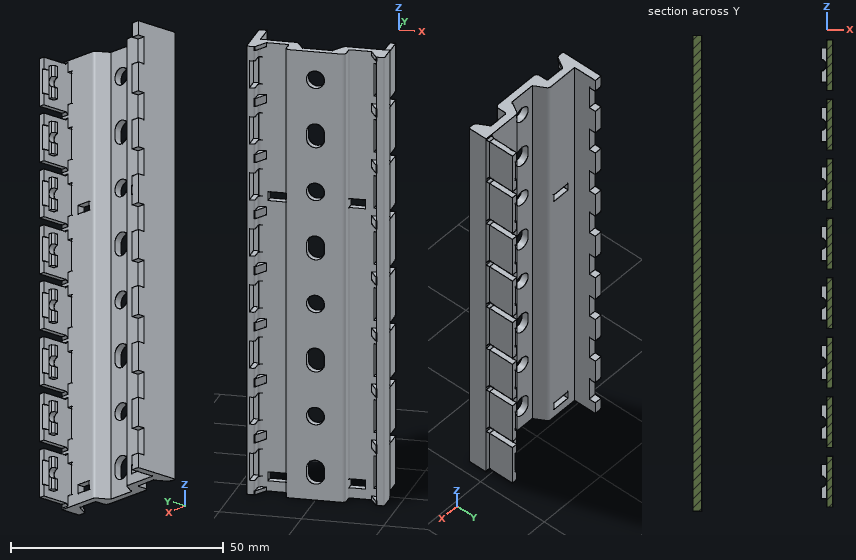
import cadquery as cq
import math

WIDTH = 33.55
LENGTH = 112.0
MID_X = WIDTH / 2

PITCH = 14.0
BAY_COUNT = round(LENGTH / PITCH)
BAY_CENTRES = [(i + 0.5) * PITCH for i in range(BAY_COUNT)]
BAY_JOINTS = [i * PITCH for i in range(BAY_COUNT + 1)]

WEB_BOTTOM = 3.45
WEB_TOP = 5.5
WEB_THICKNESS = WEB_TOP - WEB_BOTTOM
FOOT_WIDTH = 2.1
SPINE_HALF = 7.3
CHANNEL_FLOOR = 2.0
CHANNEL_FLOOR_HALF = 3.6
SLOPE = math.tan(math.radians(30))
CHANNEL_TOP_HALF = CHANNEL_FLOOR_HALF + (WEB_TOP - CHANNEL_FLOOR) * SLOPE

FOOT_OUTER_RADIUS = 0.4
FOOT_INNER_RADIUS = 0.65
FOOT_ROOT_RADIUS = 1.0
SPINE_RADIUS = 1.0
SPINE_ROOT_RADIUS = 0.35
CHANNEL_EDGE_RADIUS = 1.0

RIB_THICKNESS = 2.0
RIB_LOW = 0.1

PLAIN_WALL_TOP = 12.0
NOTCH_DEPTH = 1.9
NOTCH_LENGTH = 6.75
POCKET_X = 0.75
POCKET_TOP = 4.0

TOOTH_TOP = 13.25
TOOTH_INNER_X = WIDTH - FOOT_WIDTH
TOOTH_THICKNESS = 1.5
TOOTH_OUTER_X = TOOTH_INNER_X + TOOTH_THICKNESS
TOOTH_LENGTH = PITCH - RIB_THICKNESS
TOOTH_ROOT_CHAMFER = 0.6

RIDGE_LENGTH = 8.1
RIDGE_DEPTH = 1.3
RIDGE_FRONT_X = TOOTH_INNER_X - RIDGE_DEPTH
RIDGE_BOTTOM = 10.0
RIDGE_SHOULDER = 10.9
RIDGE_TOP = 11.65
SCOOP_RADIUS = 1.35
SCOOP_FLOOR = 0.1
SCOOP_X = TOOTH_INNER_X - SCOOP_FLOOR - SCOOP_RADIUS
TIP_LENGTH = 6.1
TIP_INSET = (TOOTH_TOP - RIDGE_TOP) * math.tan(math.radians(15))

HOLE_DIAMETER = 4.3
OBLONG_LENGTH = 5.9
SLOT_HEIGHT = 2.2
SLOT_FIRST_Z = 3.7
SLOT_SPACING = 5 * PITCH
SLOT_LEFT_X = 4.4
SLOT_RIGHT_X = 28.05


def box(x0, x1, y0, y1, z_centre, z_length):
    """Box between two X and two Y positions, centred at a height."""
    block = cq.Workplane("XY").box(x1 - x0, y1 - y0, z_length)
    return block.translate(((x0 + x1) / 2, (y0 + y1) / 2, z_centre))


def prism(points, z_centre, z_length):
    """Closed XY outline extruded along Z, centred at a height."""
    outline = cq.Workplane("XY").workplane(offset=z_centre - z_length / 2)
    return outline.polyline(points).close().extrude(z_length)


def round_edges(body, radius, places):
    """Round the lengthwise edges that pass through the given XY places."""
    for x, y in places:
        edge = cq.selectors.NearestToPointSelector((x, y, LENGTH / 2))
        body = body.edges("|Z").edges(edge).fillet(radius)
    return body


def make_base():
    """Feet, web, raised spine with its channel, and the plain wall."""
    spine_left = MID_X - SPINE_HALF
    spine_right = MID_X + SPINE_HALF
    outline = [
        (0, 0),
        (FOOT_WIDTH, 0),
        (FOOT_WIDTH, WEB_BOTTOM),
        (spine_left, WEB_BOTTOM),
        (spine_left, 0),
        (spine_right, 0),
        (spine_right, WEB_BOTTOM),
        (TOOTH_INNER_X, WEB_BOTTOM),
        (TOOTH_INNER_X, 0),
        (WIDTH, 0),
        (WIDTH, WEB_TOP),
        (MID_X + CHANNEL_TOP_HALF, WEB_TOP),
        (MID_X + CHANNEL_FLOOR_HALF, CHANNEL_FLOOR),
        (MID_X - CHANNEL_FLOOR_HALF, CHANNEL_FLOOR),
        (MID_X - CHANNEL_TOP_HALF, WEB_TOP),
        (FOOT_WIDTH, WEB_TOP),
        (FOOT_WIDTH, PLAIN_WALL_TOP),
        (0, PLAIN_WALL_TOP),
    ]
    base = prism(outline, LENGTH / 2, LENGTH)
    base = round_edges(base, FOOT_OUTER_RADIUS, [(0, 0), (WIDTH, 0)])
    base = round_edges(base, FOOT_INNER_RADIUS, [(FOOT_WIDTH, 0), (TOOTH_INNER_X, 0)])
    foot_roots = [(FOOT_WIDTH, WEB_BOTTOM), (TOOTH_INNER_X, WEB_BOTTOM)]
    base = round_edges(base, FOOT_ROOT_RADIUS, foot_roots)
    base = round_edges(base, SPINE_RADIUS, [(spine_left, 0), (spine_right, 0)])
    spine_roots = [(spine_left, WEB_BOTTOM), (spine_right, WEB_BOTTOM)]
    base = round_edges(base, SPINE_ROOT_RADIUS, spine_roots)
    channel_edges = [(MID_X - CHANNEL_TOP_HALF, WEB_TOP), (MID_X + CHANNEL_TOP_HALF, WEB_TOP)]
    return round_edges(base, CHANNEL_EDGE_RADIUS, channel_edges)


def make_ribs(z_centre):
    """Pair of sloped ribs between the feet and the web, trimmed to the rail length."""
    bottom = max(z_centre - RIB_THICKNESS / 2, 0)
    top = min(z_centre + RIB_THICKNESS / 2, LENGTH)
    run = (WEB_BOTTOM - RIB_LOW) * SLOPE
    embed = FOOT_WIDTH / 2
    left = [
        (FOOT_WIDTH, RIB_LOW),
        (FOOT_WIDTH + run, WEB_BOTTOM),
        (FOOT_WIDTH + run, WEB_BOTTOM + WEB_THICKNESS / 2),
        (embed, WEB_BOTTOM + WEB_THICKNESS / 2),
        (embed, RIB_LOW),
    ]
    right = [(WIDTH - x, y) for x, y in left]
    middle = (bottom + top) / 2
    return prism(left, middle, top - bottom).union(prism(right, middle, top - bottom))


def make_tooth(z_centre):
    """Tooth with flared root, scooped snap ridge and a thinned tip."""
    chamfer_top = WEB_TOP + TOOTH_ROOT_CHAMFER
    section = [
        (TOOTH_INNER_X, WEB_BOTTOM + WEB_THICKNESS / 2),
        (TOOTH_OUTER_X + TOOTH_ROOT_CHAMFER, WEB_BOTTOM + WEB_THICKNESS / 2),
        (TOOTH_OUTER_X + TOOTH_ROOT_CHAMFER, WEB_TOP),
        (TOOTH_OUTER_X, chamfer_top),
        (TOOTH_OUTER_X, TOOTH_TOP),
        (TOOTH_INNER_X, TOOTH_TOP),
    ]
    half = TOOTH_LENGTH / 2
    root_half = half + TOOTH_ROOT_CHAMFER
    elevation = [
        (WEB_BOTTOM, z_centre - root_half),
        (WEB_TOP, z_centre - root_half),
        (chamfer_top, z_centre - half),
        (TOOTH_TOP, z_centre - half),
        (TOOTH_TOP, z_centre + half),
        (chamfer_top, z_centre + half),
        (WEB_TOP, z_centre + root_half),
        (WEB_BOTTOM, z_centre + root_half),
    ]
    blade = cq.Workplane("YZ").polyline(elevation).close().extrude(WIDTH)
    tooth = prism(section, z_centre, PITCH).intersect(blade)

    tip_wedge = [
        (TOOTH_INNER_X, RIDGE_TOP),
        (TOOTH_INNER_X + TIP_INSET, TOOTH_TOP),
        (TOOTH_INNER_X, TOOTH_TOP),
    ]
    return tooth.cut(prism(tip_wedge, z_centre, TIP_LENGTH)).union(make_ridge(z_centre))


def make_ridge(z_centre):
    """Snap ridge with a 60-degree lead-in and a round scoop at mid-length."""
    lead_in = (RIDGE_TOP - RIDGE_SHOULDER) * SLOPE
    section = [
        (TOOTH_INNER_X, RIDGE_BOTTOM),
        (RIDGE_FRONT_X, RIDGE_BOTTOM),
        (RIDGE_FRONT_X, RIDGE_SHOULDER),
        (RIDGE_FRONT_X + lead_in, RIDGE_TOP),
        (TOOTH_INNER_X, RIDGE_TOP),
    ]
    scoop = (
        cq.Workplane("XZ", origin=(SCOOP_X, RIDGE_TOP, z_centre))
        .circle(SCOOP_RADIUS)
        .extrude(RIDGE_TOP - RIDGE_BOTTOM)
    )
    return prism(section, z_centre, RIDGE_LENGTH).cut(scoop)


def bay_cuts(z_centre):
    """Wall notch, foot pocket and web opening of one bay."""
    notch = box(0, FOOT_WIDTH, PLAIN_WALL_TOP - NOTCH_DEPTH, PLAIN_WALL_TOP, z_centre, NOTCH_LENGTH)
    pocket = box(POCKET_X, FOOT_WIDTH, 0, POCKET_TOP, z_centre, NOTCH_LENGTH)
    root_end = FOOT_WIDTH + FOOT_ROOT_RADIUS
    root_relief = box(POCKET_X, root_end, 0, WEB_BOTTOM, z_centre, NOTCH_LENGTH)
    opening = box(RIDGE_FRONT_X, TOOTH_INNER_X, 0, WEB_TOP, z_centre, RIDGE_LENGTH)
    return notch.union(pocket).union(root_relief).union(opening)


def spine_hole(index, z_centre):
    """Oblong hole in even bays and round hole in odd bays."""
    plane = cq.Workplane("XZ", origin=(MID_X, WEB_TOP, z_centre))
    if index % 2 == 0:
        return plane.slot2D(OBLONG_LENGTH, HOLE_DIAMETER, 90).extrude(WEB_TOP)
    return plane.circle(HOLE_DIAMETER / 2).extrude(WEB_TOP)


def cross_slots(z_centre):
    """Slots through the web on both sides of the spine."""
    left = box(SLOT_LEFT_X, MID_X - SPINE_HALF, 0, WEB_TOP, z_centre, SLOT_HEIGHT)
    right = box(MID_X + SPINE_HALF, SLOT_RIGHT_X, 0, WEB_TOP, z_centre, SLOT_HEIGHT)
    return left.union(right)


def gather(bodies):
    """Collect separate bodies so that one operation handles all of them."""
    group = cq.Workplane("XY")
    for body in bodies:
        group = group.add(body)
    return group


ribs = gather(make_ribs(z) for z in BAY_JOINTS)
bay_openings = gather(bay_cuts(z) for z in BAY_CENTRES)
teeth = gather(make_tooth(z) for z in BAY_CENTRES)
holes = gather(spine_hole(i, z) for i, z in enumerate(BAY_CENTRES))
slots = gather(cross_slots(z) for z in (SLOT_FIRST_Z, SLOT_FIRST_Z + SLOT_SPACING))

result = make_base().union(ribs).cut(bay_openings).union(teeth).cut(holes).cut(slots)